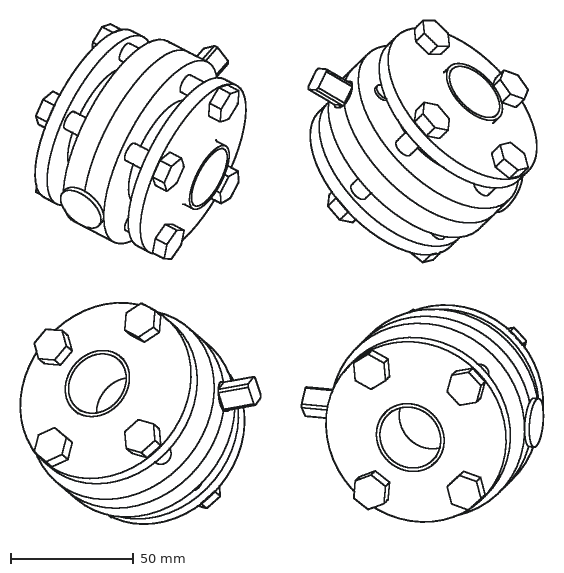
import cadquery as cq
import math

HOUSING_DIAMETER = 83.0
HOUSING_WIDTH = 20.0
TUBE_DIAMETER = 47.0
FLANGE_DIAMETER = 77.0
FLANGE_INNER_X = 20.0
FLANGE_THICKNESS = 6.0
NECK_DIAMETER = 29.0
NECK_END_X = 34.0
NECK_FILLET = 4.0
BORE_DIAMETER = 26.0

BOLT_DIAMETER = 8.0
BOLT_CIRCLE_RADIUS = 31.5
FRONT_BOLT_ANGLE = 45
REAR_BOLT_ANGLE = 55
HEAD_ACROSS_FLATS = 13.0
HEAD_HEIGHT = 5.7

BOSS_DIAMETER = 7.0
BOSS_HEIGHT = 1.2
BOSS_Y = 29.5

TOTAL_LENGTH = 98.5
STEM_DIAMETER = 12.2
SQUARE_ACROSS_FLATS = 9.7
DRIVE_TURN = 45
CAP_DIAMETER = HOUSING_WIDTH
CAP_THICKNESS = 2.0
DISC_THICKNESS = 13.8

HOUSING_RADIUS = HOUSING_DIAMETER / 2
HOUSING_HALF_WIDTH = HOUSING_WIDTH / 2
FLANGE_OUTER_X = FLANGE_INNER_X + FLANGE_THICKNESS
CAP_END_Y = -HOUSING_RADIUS - CAP_THICKNESS
STEM_END_Y = CAP_END_Y + TOTAL_LENGTH


def x_cylinder(diameter, x_start, x_end, y=0.0, z=0.0):
    """Cylinder along X between two X positions."""
    return cq.Workplane("YZ", origin=(x_start, y, z)).circle(diameter / 2).extrude(x_end - x_start)


def y_cylinder(diameter, y_start, y_end):
    """Cylinder on the Y axis between two Y positions."""
    return cq.Workplane("XZ", origin=(0, y_start, 0)).circle(diameter / 2).extrude(y_start - y_end)


def turned_half():
    """Housing half, tube, flange and filleted neck as one turned profile."""
    neck_radius = NECK_DIAMETER / 2
    fillet_middle = NECK_FILLET * (1 - math.sqrt(0.5))
    return (
        cq.Workplane("XZ")
        .moveTo(0, 0)
        .lineTo(0, HOUSING_RADIUS)
        .lineTo(HOUSING_HALF_WIDTH, HOUSING_RADIUS)
        .lineTo(HOUSING_HALF_WIDTH, TUBE_DIAMETER / 2)
        .lineTo(FLANGE_INNER_X, TUBE_DIAMETER / 2)
        .lineTo(FLANGE_INNER_X, FLANGE_DIAMETER / 2)
        .lineTo(FLANGE_OUTER_X, FLANGE_DIAMETER / 2)
        .lineTo(FLANGE_OUTER_X, neck_radius + NECK_FILLET)
        .threePointArc(
            (FLANGE_OUTER_X + fillet_middle, neck_radius + fillet_middle),
            (FLANGE_OUTER_X + NECK_FILLET, neck_radius),
        )
        .lineTo(NECK_END_X, neck_radius)
        .lineTo(NECK_END_X, 0)
        .close()
        .revolve(360, (0, 0, 0), (1, 0, 0))
    )


def bolt(angle):
    """Bolt at an angle from +Y, with one flat of its hexagon head facing outward."""
    y = BOLT_CIRCLE_RADIUS * math.cos(math.radians(angle))
    z = BOLT_CIRCLE_RADIUS * math.sin(math.radians(angle))
    shank = x_cylinder(BOLT_DIAMETER, HOUSING_HALF_WIDTH, FLANGE_OUTER_X, y, z)
    head = (
        cq.Workplane("YZ", origin=(FLANGE_OUTER_X, 0, 0))
        .transformed(rotate=(0, 0, angle))
        .center(BOLT_CIRCLE_RADIUS, 0)
        .polygon(6, HEAD_ACROSS_FLATS, circumscribed=True)
        .extrude(HEAD_HEIGHT)
    )
    return shank.union(head)


def make_housing_half():
    """Half on the +X side, with its bolts, boss, bore and half of the stem hole."""
    half = turned_half()
    for angle in (REAR_BOLT_ANGLE, 180 - FRONT_BOLT_ANGLE):
        half = half.union(bolt(angle)).union(bolt(-angle))
    boss_end = HOUSING_HALF_WIDTH + BOSS_HEIGHT
    half = half.union(x_cylinder(BOSS_DIAMETER, HOUSING_HALF_WIDTH, boss_end, BOSS_Y))
    half = half.cut(x_cylinder(BORE_DIAMETER, 0, NECK_END_X))
    return half.cut(y_cylinder(STEM_DIAMETER, -HOUSING_RADIUS, HOUSING_RADIUS))


def make_stem():
    """Round stem with a closing disc, a cap at -Y and a rounded square drive end at +Y."""
    square = (
        cq.Workplane("XY")
        .box(SQUARE_ACROSS_FLATS, STEM_END_Y, SQUARE_ACROSS_FLATS)
        .rotate((0, 0, 0), (0, 1, 0), DRIVE_TURN)
        .translate((0, STEM_END_Y / 2, 0))
    )
    drive = y_cylinder(STEM_DIAMETER, 0, STEM_END_Y).intersect(square)
    shaft = y_cylinder(STEM_DIAMETER, -HOUSING_RADIUS, HOUSING_RADIUS)
    cap = y_cylinder(CAP_DIAMETER, CAP_END_Y, -HOUSING_RADIUS)
    disc = x_cylinder(BORE_DIAMETER, -DISC_THICKNESS / 2, DISC_THICKNESS / 2)
    return shaft.union(drive).union(cap).union(disc)


right_half = make_housing_half()
left_half = right_half.mirror("YZ")
stem = make_stem()

result = cq.Compound.makeCompound([left_half.val(), right_half.val(), stem.val()])